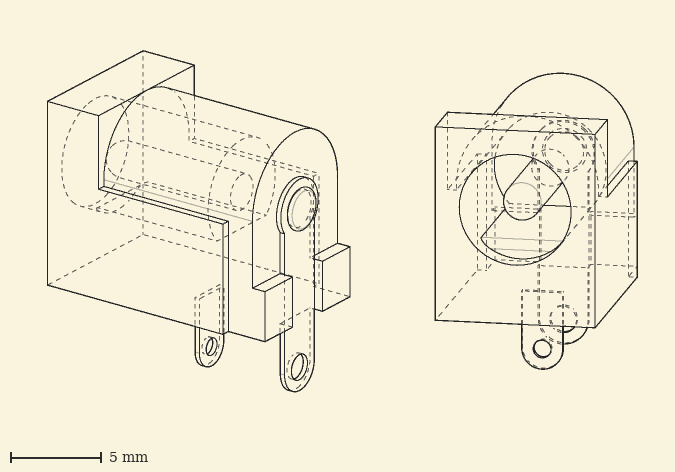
import cadquery as cq

housing_width = 9.0
housing_height = 11.0
collar_length = 3.5
side_wall_length = 12.0
side_wall_height = 6.6
barrel_radius = 4.0
barrel_axis_z = housing_height - barrel_radius
barrel_end_x = 13.65
foot_height = 3.0
overall_length = 14.5

bore_diameter = 6.3
bore_axis_z = 6.5
bore_depth = 10.0
pin_diameter = 2.1
pin_tip_x = 1.0
spring_front_x = 1.5
spring_top_z = 4.35
spring_nose_radius = 0.5

tab_thickness = 0.3
tab_bottom_z = -4.4
front_tab_x = 7.65
front_tab_width = 2.3
front_tab_hole = 1.0
rear_tab_width = 2.8
rear_tab_hole = 1.5
rear_tab_disc_diameter = 3.5

rivet_diameter = 2.5
rivet_thickness = 0.3


def box(x_start, x_end, width, z_start, z_end):
    """Box centred on Y = 0 between the given X and Z limits."""
    size = (x_end - x_start, width, z_end - z_start)
    return cq.Workplane("XY").box(*size, centered=(False, True, False)).translate((x_start, 0, z_start))


def x_cylinder(diameter, x_start, x_end, axis_z):
    """Cylinder along X in the Y = 0 plane."""
    profile = cq.Workplane("YZ", origin=(x_start, 0, axis_z)).circle(diameter / 2)
    return profile.extrude(x_end - x_start)


def make_housing():
    collar = box(0, collar_length, housing_width, 0, housing_height)
    side_walls = box(0, side_wall_length, housing_width, 0, side_wall_height)
    core = box(0, barrel_end_x, 2 * barrel_radius, 0, barrel_axis_z)
    barrel = x_cylinder(2 * barrel_radius, 0, barrel_end_x, barrel_axis_z)
    foot = box(0, overall_length, 2 * barrel_radius, 0, foot_height)
    tab_slot = box(barrel_end_x, overall_length, rear_tab_width, 0, foot_height)
    return collar.union(side_walls).union(core).union(barrel).union(foot).cut(tab_slot)


def make_bore():
    """Socket cavity: the bore less the contact spring filling its lower part."""
    bore = x_cylinder(bore_diameter, 0, bore_depth, bore_axis_z)
    spring = box(spring_front_x, bore_depth, bore_diameter, 0, spring_top_z)
    spring = spring.edges("<X and >Z").fillet(spring_nose_radius)
    return bore.cut(spring)


def make_pin():
    """Centre pin with a hemispherical tip, rooted in the back of the bore."""
    pin_radius = pin_diameter / 2
    dome_centre_x = pin_tip_x + pin_radius
    shaft = x_cylinder(pin_diameter, dome_centre_x, barrel_end_x, bore_axis_z)
    dome = cq.Workplane("XY").sphere(pin_radius).translate((dome_centre_x, 0, bore_axis_z))
    return shaft.union(dome)


def make_tab(x_start, width, hole_diameter, top_z):
    """Flat strip with a round lower end and a hole concentric with it."""
    x_end = x_start + tab_thickness
    end_z = tab_bottom_z + width / 2
    strip = box(x_start, x_end, width, end_z, top_z)
    round_end = x_cylinder(width, x_start, x_end, end_z)
    hole = x_cylinder(hole_diameter, x_start, x_end, end_z)
    return strip.union(round_end).cut(hole)


def make_rear_tab():
    """Rear solder tab, widened to a disc around the pin axis."""
    strip = make_tab(barrel_end_x, rear_tab_width, rear_tab_hole, bore_axis_z)
    disc = x_cylinder(rear_tab_disc_diameter, barrel_end_x, barrel_end_x + tab_thickness, bore_axis_z)
    return strip.union(disc)


def make_rivet():
    """Disc with a fully rounded rim, turned about the pin axis."""
    x_start = barrel_end_x + tab_thickness
    x_end = x_start + rivet_thickness
    rim_radius = rivet_thickness / 2
    flat_z = rivet_diameter / 2 - rim_radius
    profile = (
        cq.Workplane("XZ", origin=(0, 0, bore_axis_z))
        .moveTo(x_start, 0)
        .lineTo(x_start, flat_z)
        .threePointArc((x_start + rim_radius, rivet_diameter / 2), (x_end, flat_z))
        .lineTo(x_end, 0)
        .close()
    )
    return profile.revolve(360, (0, 0, 0), (1, 0, 0))


housing = make_housing().cut(make_bore())
front_tab = make_tab(front_tab_x, front_tab_width, front_tab_hole, foot_height)

result = housing.union(make_pin()).union(front_tab).union(make_rear_tab()).union(make_rivet())